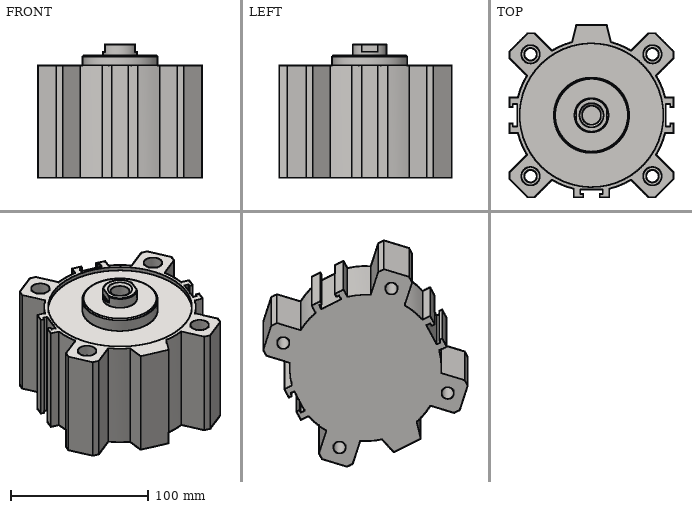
import cadquery as cq
import math

total_height = 97.5
body_height = 82.0
body_half_width = 60.0
back_extent = 66.0

barrel_diameter = 110.6
recess_diameter = 105.0
recess_depth = 3.0
gland_diameter = 55.0
gland_rise = 7.3
gland_chamfer = 1.0

lug_width = 26.0
lug_reach = 75.2
bolt_offset = 44.5
bolt_hole_diameter = 9.0
counterbore_diameter = 13.5
counterbore_depth = 8.6

rail_width = 26.2
slot_opening = 11.8
slot_width = 16.3
slot_lip = 2.5
slot_depth = 5.7

rib_tip_width = 22.2
rib_taper_angle = 14.0

rod_diameter = 25.0
rod_length = 63.0
rod_chamfer = 0.5
flat_spacing = 22.0
flat_height = 5.5
bore_diameter = 13.9
bore_mouth_diameter = 17.6
bore_mouth_angle = 90.0
bore_depth = 31.5

recess_floor = body_height - recess_depth
gland_top = body_height + gland_rise
rod_bottom = total_height - rod_length


def make_disc(diameter, bottom, top):
    """Round disc on the Z axis between two heights."""
    return cq.Workplane("XY").workplane(offset=bottom).circle(diameter / 2).extrude(top - bottom)


def make_lug(angle):
    """Diagonal lug from the axis to its tip, trimmed by the square side faces."""
    lug = cq.Workplane("XY").box(lug_reach, lug_width, body_height, centered=(False, True, False))
    side = 2 * body_half_width
    envelope = cq.Workplane("XY").box(side, side, body_height, centered=(True, True, False))
    return lug.rotate((0, 0, 0), (0, 0, 1), angle).intersect(envelope)


def make_rail(angle):
    """Rail along Z, drawn on the +X side and turned to its own side of the barrel."""
    rail = cq.Workplane("XY").box(body_half_width, rail_width, body_height, centered=(False, True, False))
    return rail.rotate((0, 0, 0), (0, 0, 1), angle)


def make_rail_slot(angle):
    """T-shaped slot: a narrow opening between two lips and a wider channel behind them."""
    lip_x = body_half_width - slot_lip
    floor_x = body_half_width - slot_depth
    half_opening = slot_opening / 2
    half_width = slot_width / 2
    slot = (
        cq.Workplane("XY")
        .moveTo(body_half_width, -half_opening)
        .lineTo(lip_x, -half_opening)
        .lineTo(lip_x, -half_width)
        .lineTo(floor_x, -half_width)
        .lineTo(floor_x, half_width)
        .lineTo(lip_x, half_width)
        .lineTo(lip_x, half_opening)
        .lineTo(body_half_width, half_opening)
        .close()
        .extrude(body_height)
    )
    return slot.rotate((0, 0, 0), (0, 0, 1), angle)


def make_back_rib():
    """Tapered rib on the +Y side, widening towards the barrel."""
    root_y = barrel_diameter / 4
    half_tip = rib_tip_width / 2
    half_root = half_tip + (back_extent - root_y) * math.tan(math.radians(rib_taper_angle))
    return (
        cq.Workplane("XY")
        .polyline([
            (-half_root, root_y),
            (half_root, root_y),
            (half_tip, back_extent),
            (-half_tip, back_extent),
        ])
        .close()
        .extrude(body_height)
    )


def make_gland():
    """Raised collar around the rod, standing on the recess floor."""
    gland = make_disc(gland_diameter, recess_floor, gland_top)
    return gland.faces(">Z").edges().chamfer(gland_chamfer)


def make_housing():
    lug_angles = [45, 135, 225, 315]
    rail_angles = [0, 180, 270]

    housing = cq.Workplane("XY").circle(barrel_diameter / 2).extrude(body_height)
    for angle in lug_angles:
        housing = housing.union(make_lug(angle))
    for angle in rail_angles:
        housing = housing.union(make_rail(angle))
    housing = housing.union(make_back_rib())
    for angle in rail_angles:
        housing = housing.cut(make_rail_slot(angle))

    housing = (
        housing.faces(">Z")
        .workplane(origin=(0, 0, body_height))
        .rect(2 * bolt_offset, 2 * bolt_offset, forConstruction=True)
        .vertices()
        .cboreHole(bolt_hole_diameter, counterbore_diameter, counterbore_depth)
    )

    recess = make_disc(recess_diameter, recess_floor, body_height)
    housing = housing.cut(recess).union(make_gland())

    rod_socket = make_disc(rod_diameter, rod_bottom, gland_top)
    return housing.cut(rod_socket).solids()


def make_rod():
    rod = make_disc(rod_diameter, rod_bottom, total_height)
    rod = rod.faces(">Z").edges().chamfer(rod_chamfer)

    flat_cut_depth = (rod_diameter - flat_spacing) / 2
    flat_centre_x = (rod_diameter + flat_spacing) / 4
    flat_cuts = (
        cq.Workplane("XY")
        .workplane(offset=total_height - flat_height)
        .pushPoints([(-flat_centre_x, 0), (flat_centre_x, 0)])
        .rect(flat_cut_depth, rod_diameter)
        .extrude(flat_height)
    )
    rod = rod.cut(flat_cuts)

    rod = (
        rod.faces(">Z")
        .workplane(origin=(0, 0, total_height))
        .cskHole(bore_diameter, bore_mouth_diameter, bore_mouth_angle, bore_depth)
    )
    return rod.solids()


housing = make_housing()
rod = make_rod()

result = cq.Compound.makeCompound([housing.val(), rod.val()])